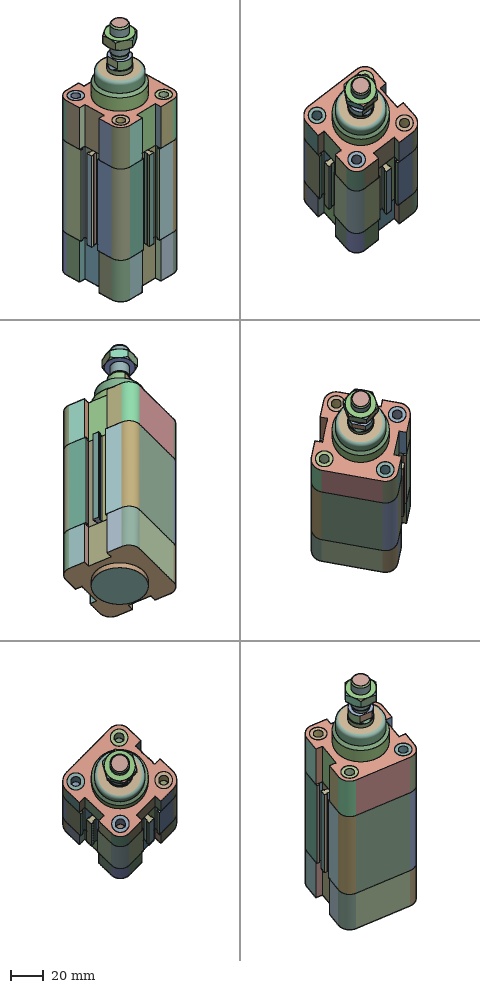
import cadquery as cq
import math

total_length = 188.0
body_width = 54.0
cover_length = 31.0
tube_length = 68.0
rear_boss_height = 4.0

rear_cover_z = rear_boss_height
tube_z = rear_cover_z + cover_length
head_z = tube_z + tube_length
head_top_z = head_z + cover_length

corner_radius = 7.9
slot_width = 16.4
slot_depth = 4.7
slot_angles = (0, 90, -90)

slot_opening = 14.1
lip_thickness = 2.0
rib_neck_width = 3.2
rib_head_width = 4.1
rib_head_thickness = 2.0

hole_spacing = 38.0
hole_diameter = 6.0
hole_depth = 16.0
drill_point_angle = 118
hole_recess_diameter = 10.7
hole_recess_depth = 0.2

boss_diameter = 35.0
boss_height = 10.0
collar_diameter = 31.0
collar_top = 20.0
collar_fillet = 2.0

rod_diameter = 16.0
rod_neck_diameter = 15.5
rod_shoulder = 23.1
rod_shoulder_chamfer = 0.4
rod_end = 30.0
flat_width = 13.0
flat_bottom = 24.5
undercut_diameter = 10.9
undercut_top = 32.5
thread_diameter = 12.0
thread_tip_diameter = 10.5
thread_chamfer_height = 1.3

nut_width = 19.0
nut_height = 7.0
nut_bottom = 39.9
nut_chamfer_angle = 30


def square_block(bottom_z, length):
    """Square bar with rounded vertical edges."""
    block = cq.Workplane("XY", origin=(0, 0, bottom_z)).rect(body_width, body_width).extrude(length)
    return block.edges("|Z").fillet(corner_radius)


def side_bar(width, outer_depth, inner_depth, bottom_z, length):
    """Vertical bar between two depths below the -Y side."""
    return (
        cq.Workplane("XY", origin=(0, -body_width / 2, bottom_z))
        .center(0, (outer_depth + inner_depth) / 2)
        .rect(width, inner_depth - outer_depth)
        .extrude(length)
    )


def cut_on_slotted_sides(block, cutter):
    """Cut a shape that lies on the -Y side into every slotted side."""
    for angle in slot_angles:
        block = block.cut(cutter.rotate((0, 0, 0), (0, 0, 1), angle))
    return block


def corner_hole():
    """Blind drilled hole with a shallow recess, opening upwards at the origin."""
    radius = hole_diameter / 2
    recess_radius = hole_recess_diameter / 2
    tip_height = radius / math.tan(math.radians(drill_point_angle / 2))
    outline = [
        (0, 0),
        (recess_radius, 0),
        (recess_radius, -hole_recess_depth),
        (radius, -hole_recess_depth),
        (radius, -hole_depth),
        (0, -hole_depth - tip_height),
    ]
    return cq.Workplane("XZ").polyline(outline).close().revolve(360, (0, 0), (0, 1))


def cover(bottom_z):
    """Square end cover with plain slots on three sides."""
    slot = side_bar(slot_width, 0, slot_depth, bottom_z, cover_length)
    return cut_on_slotted_sides(square_block(bottom_z, cover_length), slot)


def make_head():
    """Rod-side cover with stepped boss and corner holes."""
    boss_radius = boss_diameter / 2
    collar_radius = collar_diameter / 2
    step = boss_radius - collar_radius
    outline = [
        (0, 0),
        (boss_radius, 0),
        (boss_radius, boss_height),
        (collar_radius, boss_height + step),
        (collar_radius, collar_top),
        (0, collar_top),
    ]
    boss = cq.Workplane("XZ").polyline(outline).close().revolve(360, (0, 0), (0, 1))
    boss = boss.faces(">Z").edges().fillet(collar_fillet)
    head = cover(head_z).union(boss.translate((0, 0, head_top_z)))
    for x in (-hole_spacing / 2, hole_spacing / 2):
        for y in (-hole_spacing / 2, hole_spacing / 2):
            head = head.cut(corner_hole().translate((x, y, head_top_z)))
    return head


def make_tube():
    """Profile tube with lipped slots, each holding a T-shaped rib."""
    opening = side_bar(slot_opening, 0, lip_thickness, tube_z, tube_length)
    chamber = side_bar(slot_width, lip_thickness, slot_depth, tube_z, tube_length)
    rib_head = side_bar(rib_head_width, 0, rib_head_thickness, tube_z, tube_length)
    rib_neck = side_bar(rib_neck_width, rib_head_thickness, slot_depth, tube_z, tube_length)
    slot = opening.union(chamber).cut(rib_head).cut(rib_neck)
    return cut_on_slotted_sides(square_block(tube_z, tube_length), slot)


def make_rear_cover():
    """Rear cover with a round centring boss underneath."""
    boss = cq.Workplane("XY").circle(boss_diameter / 2).extrude(rear_boss_height)
    return cover(rear_cover_z).union(boss)


def make_rod():
    """Rod end standing on the collar, with wrench flats, undercut and thread."""
    tip = total_length - head_top_z
    rod_radius = rod_diameter / 2
    neck_radius = rod_neck_diameter / 2
    undercut_radius = undercut_diameter / 2
    thread_radius = thread_diameter / 2
    outline = [
        (0, collar_top),
        (rod_radius, collar_top),
        (rod_radius, rod_shoulder),
        (neck_radius, rod_shoulder + rod_shoulder_chamfer),
        (neck_radius, rod_end),
        (undercut_radius, rod_end),
        (undercut_radius, undercut_top),
        (thread_radius, undercut_top),
        (thread_radius, tip - thread_chamfer_height),
        (thread_tip_diameter / 2, tip),
        (0, tip),
    ]
    rod = cq.Workplane("XZ").polyline(outline).close().revolve(360, (0, 0), (0, 1))

    flat_y = flat_width / 2
    runout = rod_radius - flat_y
    flat_outline = [
        (flat_y, rod_end),
        (flat_y, flat_bottom),
        (rod_radius, flat_bottom - runout),
        (rod_radius, rod_end),
    ]
    flat = cq.Workplane("YZ").polyline(flat_outline).close().extrude(rod_radius, both=True)
    rod = rod.cut(flat).cut(flat.mirror("XZ"))
    return rod.translate((0, 0, head_top_z))


def make_nut():
    """Hexagon nut with corners on the X axis, chamfered at both ends."""
    hex_radius = nut_width / math.sqrt(3)
    face_radius = nut_width / 2
    chamfer_height = (hex_radius - face_radius) * math.tan(math.radians(nut_chamfer_angle))
    envelope_outline = [
        (0, 0),
        (face_radius, 0),
        (hex_radius, chamfer_height),
        (hex_radius, nut_height - chamfer_height),
        (face_radius, nut_height),
        (0, nut_height),
    ]
    envelope = cq.Workplane("XZ").polyline(envelope_outline).close().revolve(360, (0, 0), (0, 1))
    hexagon = cq.Workplane("XY").polygon(6, 2 * hex_radius).extrude(nut_height)
    bore = cq.Workplane("XY").circle(thread_diameter / 2).extrude(nut_height)
    nut = hexagon.intersect(envelope).cut(bore)
    return nut.translate((0, 0, head_top_z + nut_bottom))


rear_cover = make_rear_cover()
tube = make_tube()
head = make_head()
rod = make_rod()
nut = make_nut()

result = cq.Compound.makeCompound(
    [rear_cover.val(), tube.val(), head.val(), rod.val(), nut.val()]
)